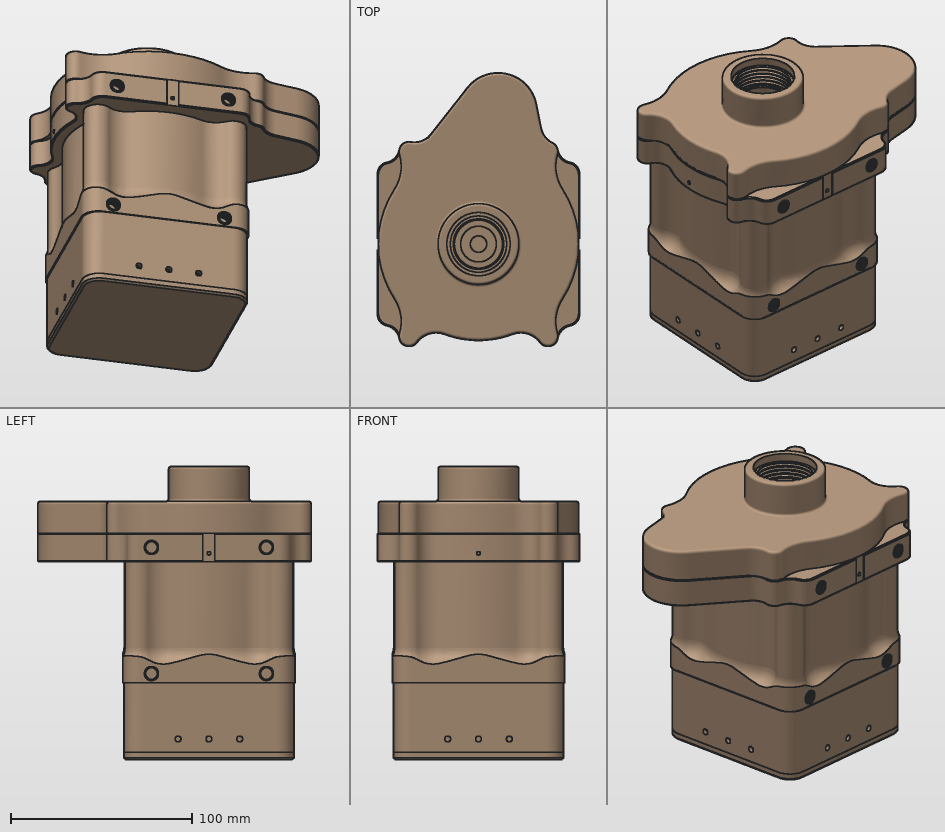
import cadquery as cq
import math


cap_top = 4.0
box_top = 42.5
housing_top = 109.4
plate_top = 125.3
cover_top = 142.8
nose_top = 162.0

box_width = 94.0
collar_width = 95.3
square_corner_radius = 9.7
cap_chamfer = 1.1

barrel_radius = 47.0
flute_radius = 12.6
corner_lobe_offset = 38.5
corner_lobe_radius = 7.8
collar_ledge_z = 52.3
collar_blend_radius = 9.4

screw_lobe_x = 38.4
screw_lobe_y = 51.0
screw_lobe_radius = 5.5
front_arc_radius = 53.3
tip_center = (10.9, 73.1)
tip_radius = 21.5
rear_right_dip_angle = 64.0
rear_right_dip_radius = 11.3

cover_side_radius = 55.5
cover_side_dip_radius = 23.0
cover_front_dip_radius = 13.3
cover_rear_left_dip_radius = 11.7
cover_rear_left_dip_angle = 80.0
cover_edge_fillet = 1.6

plate_width = 111.8
plate_slot_width = 6.6
plate_slot_depth = 0.6
shoulder_x = 49.1
shoulder_y = 38.5
plate_dip_radius = 8.5
plate_rear_left_dip_angle = 72.0
plate_chamfer = 0.6

nose_radius = 22.4
nose_edge_fillet = 1.5
nose_foot_fillet = 1.5
mouth_radius = 17.5
mouth_depth = 4.5
thread_minor_radius = 15.5
thread_major_radius = 17.2
thread_pitch = 2.3
thread_turns = 5
bore_radius = 13.3
bore_chamfer = 0.6

spindle_radius = 9.9
spindle_bore_radius = 4.5
spindle_length = 9.7

screw_minor_radius = 3.2
screw_major_radius = 3.9
screw_pitch = 1.3
screw_turns = 5
screw_spacing = 63.5
collar_screw_z = 47.6
plate_screw_z = 117.3
vent_radius = 1.6
vent_depth = 3.2
vent_spacing = 17.0
vent_z = 11.5
grease_hole_radius = 1.0
grease_hole_depth = 3.2
grease_hole_z = 114.1

BULGE = 1
DIP = -1
contact_tolerance = 0.002


def straight_between(first, second):
    """End points of the straight line between two arcs, or their shared point if they touch."""
    x1, y1, r1, turn1 = first
    x2, y2, r2, turn2 = second
    distance = math.hypot(x2 - x1, y2 - y1)
    if turn1 != turn2 and distance < r1 + r2 + contact_tolerance:
        share = r1 / (r1 + r2)
        contact = (x1 + share * (x2 - x1), y1 + share * (y2 - y1))
        return contact, contact
    offset = turn2 * r2 - turn1 * r1
    heading = math.atan2(y2 - y1, x2 - x1) - math.asin(offset / distance)
    normal_x = -math.sin(heading)
    normal_y = math.cos(heading)
    start = (x1 - turn1 * r1 * normal_x, y1 - turn1 * r1 * normal_y)
    end = (x2 - turn2 * r2 * normal_x, y2 - turn2 * r2 * normal_y)
    return start, end


def middle_of_arc(arc, start, end):
    """Point halfway along an arc between its two end points."""
    x, y, radius, turn = arc
    start_angle = math.atan2(start[1] - y, start[0] - x)
    end_angle = math.atan2(end[1] - y, end[0] - x)
    sweep = turn * ((turn * (end_angle - start_angle)) % (2 * math.pi))
    angle = start_angle + sweep / 2
    return (x + radius * math.cos(angle), y + radius * math.sin(angle))


def tangent_outline(arcs, z):
    """Closed smooth outline that runs through the arcs, with straights where they stand apart."""
    joints = [straight_between(arc, arcs[(i + 1) % len(arcs)]) for i, arc in enumerate(arcs)]
    outline = cq.Workplane("XY").workplane(offset=z).moveTo(*joints[-1][1])
    arrival = joints[-1][1]
    for arc, (leave, join) in zip(arcs, joints):
        outline = outline.threePointArc(middle_of_arc(arc, arrival, leave), leave)
        arrival = leave
        if join != leave:
            outline = outline.lineTo(*join)
            arrival = join
    return outline.close()


def dip_between(first, second, radius):
    """Inward arc that touches two outward arcs, on the outer side of the outline."""
    x1, y1, r1, _ = first
    x2, y2, r2, _ = second
    distance = math.hypot(x2 - x1, y2 - y1)
    reach1 = r1 + radius
    reach2 = r2 + radius
    along = (reach1 ** 2 - reach2 ** 2 + distance ** 2) / (2 * distance)
    away = math.sqrt(reach1 ** 2 - along ** 2)
    unit_x = (x2 - x1) / distance
    unit_y = (y2 - y1) / distance
    return (x1 + along * unit_x + away * unit_y, y1 + along * unit_y - away * unit_x, radius, DIP)


def dip_beside(lobe, radius, angle):
    """Inward arc that touches one lobe in the given direction, in degrees."""
    reach = lobe[2] + radius
    direction = math.radians(angle)
    return (lobe[0] + reach * math.cos(direction), lobe[1] + reach * math.sin(direction), radius, DIP)


def mirrored(arc):
    """The same arc on the other side of the YZ plane."""
    return (-arc[0], *arc[1:])


def gear_case_outline(
    side_bulges, side_dip_radius, front_dip_radius, rear_left_dip_radius, rear_left_dip_angle, z
):
    """Four screw lobes, a front arc, a rear tip, and bulges on the +X side mirrored to -X."""
    rear_right = (screw_lobe_x, screw_lobe_y, screw_lobe_radius, BULGE)
    front_right = (screw_lobe_x, -screw_lobe_y, screw_lobe_radius, BULGE)
    front = (0, 0, front_arc_radius, BULGE)
    tip = (*tip_center, tip_radius, BULGE)
    right_side = [
        dip_between(front, front_right, front_dip_radius),
        front_right,
        dip_between(front_right, side_bulges[0], side_dip_radius),
        *side_bulges,
        dip_between(side_bulges[-1], rear_right, side_dip_radius),
        rear_right,
    ]
    left_side = [mirrored(arc) for arc in reversed(right_side)]
    rear_left = mirrored(rear_right)
    rear = [
        dip_beside(rear_right, rear_right_dip_radius, rear_right_dip_angle),
        tip,
        dip_beside(rear_left, rear_left_dip_radius, rear_left_dip_angle),
    ]
    return tangent_outline([front, *right_side, *rear, *left_side], z)


def edges_near(reach, z):
    """Selector for edges centered at height z, no farther than reach from the axis in X and Y."""
    margin = 0.2
    return cq.selectors.BoxSelector((-reach, -reach, z - margin), (reach, reach, z + margin))


def rounded_square(width, bottom, top):
    """Upright square block with rounded corners."""
    block = cq.Workplane("XY").workplane(offset=bottom).rect(width, width).extrude(top - bottom)
    return block.edges("|Z").fillet(square_corner_radius)


def wall_holes(wall_distance, side_angle, offsets, z, radius, depth):
    """Blind holes bored inward from the wall that faces side_angle, in degrees from +X."""
    holes = cq.Workplane("YZ").workplane(offset=wall_distance - depth)
    holes = holes.pushPoints([(offset, z) for offset in offsets]).circle(radius).extrude(2 * depth)
    return holes.rotate((0, 0, 0), (0, 0, 1), side_angle)


def thread_grooves(profile, minor, major, start, pitch, turns):
    """Extend a (radius, height) profile downward from start with ring-shaped thread grooves."""
    quarter = pitch / 4
    for turn in range(turns):
        groove_start = start - turn * pitch
        profile = profile.lineTo(major, groove_start - quarter)
        profile = profile.lineTo(major, groove_start - 2 * quarter)
        profile = profile.lineTo(minor, groove_start - 3 * quarter)
        profile = profile.lineTo(minor, groove_start - 4 * quarter)
    return profile


def side_screw_holes(wall_distance, z):
    """Pairs of threaded screw holes in the -X and +X walls."""
    profile = cq.Workplane("XZ").lineTo(screw_minor_radius, 0)
    profile = thread_grooves(
        profile, screw_minor_radius, screw_major_radius, 0, screw_pitch, screw_turns
    )
    profile = profile.lineTo(0, -screw_turns * screw_pitch).close()
    hole = profile.revolve(360, (0, 0, 0), (0, 1, 0))
    holes = cq.Workplane("XY")
    for side in (-1, 1):
        for y in (-screw_spacing / 2, screw_spacing / 2):
            turned = hole.rotate((0, 0, 0), (0, 1, 0), side * 90)
            holes = holes.add(turned.translate((side * wall_distance, y, z)))
    return holes


def make_cap():
    cap = rounded_square(box_width, 0, cap_top)
    return cap.faces("<Z").edges().chamfer(cap_chamfer)


def make_box():
    box = rounded_square(box_width, cap_top, box_top)
    offsets = [-vent_spacing, 0, vent_spacing]
    for side_angle in (0, 90, 180, 270):
        box = box.cut(wall_holes(box_width / 2, side_angle, offsets, vent_z, vent_radius, vent_depth))
    return box


def housing_outline(z):
    """Round barrel with a lobe at each corner and flutes beside the lobes."""
    barrel = (0, 0, barrel_radius, BULGE)
    corner_lobes = [
        (x * corner_lobe_offset, y * corner_lobe_offset, corner_lobe_radius, BULGE)
        for x, y in ((1, 1), (-1, 1), (-1, -1), (1, -1))
    ]
    arcs = []
    for lobe in corner_lobes:
        flute_before = dip_between(barrel, lobe, flute_radius)
        flute_after = dip_between(lobe, barrel, flute_radius)
        arcs += [barrel, flute_before, lobe, flute_after]
    return tangent_outline(arcs, z)


def make_housing():
    """Fluted barrel that flares out into a square collar at its foot."""
    barrel = housing_outline(collar_ledge_z).extrude(housing_top - collar_ledge_z)
    ledge_width = 2 * collar_width
    ledge = cq.Workplane("XY").workplane(offset=box_top)
    ledge = ledge.rect(ledge_width, ledge_width).extrude(collar_ledge_z - box_top)
    flared = ledge.union(barrel)
    flared = flared.edges(edges_near(collar_width / 2, collar_ledge_z)).fillet(collar_blend_radius)
    housing = flared.intersect(rounded_square(collar_width, box_top, housing_top))
    return housing.cut(side_screw_holes(collar_width / 2, collar_screw_z))


def make_plate():
    half_width = plate_width / 2
    shoulder_radius = half_width - shoulder_x
    shoulders = [(shoulder_x, y, shoulder_radius, BULGE) for y in (-shoulder_y, shoulder_y)]
    outline = gear_case_outline(
        shoulders,
        plate_dip_radius,
        plate_dip_radius,
        plate_dip_radius,
        plate_rear_left_dip_angle,
        housing_top,
    )
    height = plate_top - housing_top
    plate = outline.extrude(height).faces("<Z or >Z").edges().chamfer(plate_chamfer)

    slot_floor = half_width - plate_slot_depth
    for side in (-1, 1):
        slot = cq.Workplane("XY").box(2 * plate_slot_depth, plate_slot_width, 2 * nose_top)
        plate = plate.cut(slot.translate((side * half_width, 0, 0)))

    plate = plate.cut(side_screw_holes(half_width, plate_screw_z))
    grease_walls = {0: slot_floor, 180: slot_floor, 270: front_arc_radius}
    for side_angle, wall in grease_walls.items():
        plate = plate.cut(
            wall_holes(wall, side_angle, [0], grease_hole_z, grease_hole_radius, grease_hole_depth)
        )
    return plate


def nose_bore():
    """Revolved cavity: plain mouth, ring-shaped thread grooves, then a smooth bore."""
    thread_top = nose_top - mouth_depth
    thread_bottom = thread_top - thread_turns * thread_pitch
    cavity = cq.Workplane("XZ").moveTo(0, nose_top).lineTo(mouth_radius, nose_top)
    cavity = cavity.lineTo(mouth_radius, thread_top).lineTo(thread_minor_radius, thread_top)
    cavity = thread_grooves(
        cavity, thread_minor_radius, thread_major_radius, thread_top, thread_pitch, thread_turns
    )
    cavity = cavity.lineTo(bore_radius + bore_chamfer, thread_bottom)
    cavity = cavity.lineTo(bore_radius, thread_bottom - bore_chamfer)
    cavity = cavity.lineTo(bore_radius, plate_top).lineTo(0, plate_top).close()
    return cavity.revolve(360, (0, 0, 0), (0, 1, 0))


def make_cover():
    side = (0, 0, cover_side_radius, BULGE)
    outline = gear_case_outline(
        [side],
        cover_side_dip_radius,
        cover_front_dip_radius,
        cover_rear_left_dip_radius,
        cover_rear_left_dip_angle,
        plate_top,
    )
    cover = outline.extrude(cover_top - plate_top)
    cover = cover.faces(">Z").edges().fillet(cover_edge_fillet)

    nose = cq.Workplane("XY").workplane(offset=plate_top).circle(nose_radius)
    nose = nose.extrude(nose_top - plate_top).faces(">Z").edges().fillet(nose_edge_fillet)
    cover = cover.union(nose)
    cover = cover.edges(edges_near(nose_radius, cover_top)).fillet(nose_foot_fillet)
    return cover.cut(nose_bore())


def make_spindle():
    spindle = cq.Workplane("XY").workplane(offset=plate_top)
    return spindle.circle(spindle_radius).circle(spindle_bore_radius).extrude(spindle_length)


cap = make_cap()
box = make_box()
housing = make_housing()
plate = make_plate()
cover = make_cover()
spindle = make_spindle()

result = cq.Compound.makeCompound(
    [cap.val(), box.val(), housing.val(), plate.val(), cover.val(), spindle.val()]
)